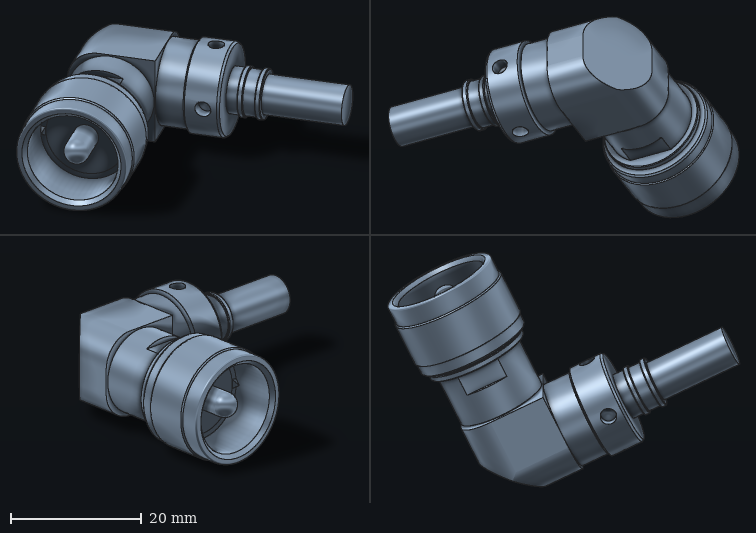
import cadquery as cq
import math


BLOCK_HALF = 7.0
BLOCK_BACK = 6.93
BLOCK_ROUND = 5.05
BLOCK_BEVEL = 7.95

ARM_RADIUS = 6.93
NECK_RADIUS = 6.15

BARREL_START = 7.3
FLAT_START = 12.25
FLAT_HALF_HEIGHT = 6.05
COLLAR_START = 15.65
COLLAR_END = 16.6
COLLAR_RADIUS = 7.95
COLLAR_CHAMFER = 0.15
FLANGE_START = 18.3
FACE = 20.95
KEY_WIDTH = 1.47
KEY_HEIGHT = 1.05
KEY_CLEARANCE = 0.05
KEY_TIP = 0.05

SHOULDER_END = 11.45
CLAMP_START = 11.8
CLAMP_END = 17.35
CLAMP_RADIUS = 7.5
CLAMP_CHAMFER_LENGTH = 0.4
CLAMP_CHAMFER_DEPTH = 0.25
SPANNER_HOLE_X = 14.75
SPANNER_HOLE_DIAMETER = 2.5
SPANNER_HOLE_DEPTH = 2.0
SPANNER_HOLE_COUNT = 4
DRILL_POINT_ANGLE = 140.0
FERRULE_RADIUS = 3.7
FERRULE_END = 22.85
RIB_STARTS = (19.12, 21.95)
RIB_WIDTH = 0.9
RIB_RADIUS = 4.0
RIB_CHAMFER = 0.15

CABLE_RADIUS = 3.15
CABLE_END = 35.6

INSULATOR_RADIUS = 6.4
INSULATOR_LENGTH = 2.7
INSULATOR_BACK = FACE - INSULATOR_LENGTH
PIN_RADIUS = 2.0
PIN_SHOULDER = 25.95

NUT_START = 17.0
NUT_GRIP_START = 19.05
NUT_GRIP_END = 25.75
NUT_END = 29.0
NUT_RADIUS = 8.85
NUT_GRIP_RADIUS = 9.05
NUT_REAR_CHAMFER = 0.25
NUT_FRONT_FILLET = 0.3
NUT_GRIP_REAR_SLOPE = 0.1
NUT_GRIP_FRONT_SLOPE = 0.22
NUT_BORE_RADIUS = 7.25
NUT_MOUTH_CHAMFER = 0.65


def plug_cylinder(radius, start, end):
    """Cylinder on the plug axis between two distances towards -Y."""
    return cq.Workplane("XZ", origin=(0, -start, 0)).circle(radius).extrude(end - start)


def cable_cylinder(radius, start, end):
    """Cylinder on the cable axis between two distances towards +X."""
    return cq.Workplane("YZ", origin=(start, 0, 0)).circle(radius).extrude(end - start)


def make_block():
    """Cube with rounded outer edges on both arms and a bevelled outer corner."""
    size = 2 * BLOCK_HALF
    depth = BLOCK_HALF + BLOCK_BACK
    cube = cq.Workplane("XY", origin=(0, BLOCK_BACK - depth / 2, 0)).box(size, depth, size)
    plug_arm = cube.edges("<X and |Y").fillet(BLOCK_ROUND)
    cable_arm = cube.edges(">Y and |X").fillet(BLOCK_ROUND)
    corner = (
        cq.Workplane("XY", origin=(0, 0, -BLOCK_HALF))
        .moveTo(-BLOCK_HALF, BLOCK_BACK)
        .lineTo(-BLOCK_HALF + BLOCK_BEVEL, BLOCK_BACK)
        .lineTo(-BLOCK_HALF, BLOCK_BACK - BLOCK_BEVEL)
        .close()
        .extrude(size)
    )
    return plug_arm.intersect(cable_arm).cut(corner)


def make_key(side):
    """Pointed key on the rim of the front flange, on the +X or the -X side."""
    rim_width = NUT_BORE_RADIUS - INSULATOR_RADIUS
    rim_middle = INSULATOR_RADIUS + rim_width / 2
    return (
        cq.Workplane("XZ", origin=(side * rim_middle, -FACE, 0))
        .rect(rim_width - 2 * KEY_CLEARANCE, KEY_WIDTH)
        .workplane(offset=KEY_HEIGHT)
        .rect(KEY_TIP, KEY_TIP)
        .loft(ruled=True)
    )


def make_barrel():
    """Round plug arm with a collar, two wrench flats and a keyed front flange."""
    neck = plug_cylinder(NECK_RADIUS, BLOCK_HALF, BARREL_START)
    tube = plug_cylinder(ARM_RADIUS, BARREL_START, FACE)
    flat_length = COLLAR_START - FLAT_START
    wrench_section = cq.Workplane("XY", origin=(0, -(FLAT_START + COLLAR_START) / 2, 0)).box(
        2 * ARM_RADIUS, flat_length, 2 * FLAT_HALF_HEIGHT
    )
    tube = tube.cut(plug_cylinder(ARM_RADIUS, FLAT_START, COLLAR_START).cut(wrench_section))
    collar = plug_cylinder(COLLAR_RADIUS, COLLAR_START, COLLAR_END).edges().chamfer(COLLAR_CHAMFER)
    flange = plug_cylinder(NUT_BORE_RADIUS, FLANGE_START, FACE)
    recess = plug_cylinder(INSULATOR_RADIUS, INSULATOR_BACK, FACE)
    barrel = neck.union(tube).union(collar).union(flange).cut(recess)
    for side in (1, -1):
        barrel = barrel.union(make_key(side))
    return barrel


def spanner_hole():
    """Blind drilled hole entering the clamp section from +Z."""
    radius = SPANNER_HOLE_DIAMETER / 2
    point_length = radius / math.tan(math.radians(DRILL_POINT_ANGLE / 2))
    bottom = CLAMP_RADIUS - SPANNER_HOLE_DEPTH
    return (
        cq.Workplane("XZ")
        .moveTo(0, CLAMP_RADIUS)
        .lineTo(radius, CLAMP_RADIUS)
        .lineTo(radius, bottom)
        .lineTo(0, bottom - point_length)
        .close()
        .revolve(360, (0, 0), (0, 1))
        .translate((SPANNER_HOLE_X, 0, 0))
    )


def make_clamp():
    """Cable arm: shoulder, relief groove, clamp section with spanner holes, and ferrule."""
    shoulder = cable_cylinder(ARM_RADIUS, BLOCK_HALF, SHOULDER_END)
    neck = cable_cylinder(NECK_RADIUS, SHOULDER_END, CLAMP_START)
    clamp = (
        cable_cylinder(CLAMP_RADIUS, CLAMP_START, CLAMP_END)
        .faces(">X")
        .chamfer(CLAMP_CHAMFER_LENGTH, CLAMP_CHAMFER_DEPTH)
    )
    for index in range(SPANNER_HOLE_COUNT):
        angle = 360 / SPANNER_HOLE_COUNT * index
        clamp = clamp.cut(spanner_hole().rotate((0, 0, 0), (1, 0, 0), angle))
    ferrule = cable_cylinder(FERRULE_RADIUS, CLAMP_END, FERRULE_END)
    for start in RIB_STARTS:
        rib = cable_cylinder(RIB_RADIUS, start, start + RIB_WIDTH).edges().chamfer(RIB_CHAMFER)
        ferrule = ferrule.union(rib)
    cable_seat = cable_cylinder(CABLE_RADIUS, CLAMP_END, FERRULE_END)
    return shoulder.union(neck).union(clamp).union(ferrule).cut(cable_seat)


def make_body():
    """Elbow block with its plug arm and its cable arm."""
    return make_block().union(make_barrel()).union(make_clamp())


def make_cable():
    """Cable seated in the ferrule."""
    return cable_cylinder(CABLE_RADIUS, CLAMP_END, CABLE_END)


def make_pin():
    """Round-tipped centre pin, starting at the back of the insulator."""
    pin = plug_cylinder(PIN_RADIUS, INSULATOR_BACK, PIN_SHOULDER)
    tip = cq.Workplane("XY", origin=(0, -PIN_SHOULDER, 0)).sphere(PIN_RADIUS)
    return pin.union(tip)


def make_insulator():
    """Disc in the front recess of the body, with a hole for the pin."""
    disc = plug_cylinder(INSULATOR_RADIUS, INSULATOR_BACK, FACE)
    pin_hole = plug_cylinder(PIN_RADIUS, INSULATOR_BACK, FACE)
    return disc.cut(pin_hole)


def make_coupling_nut():
    """Sleeve with a raised grip band, bored to hold the flange of the body."""
    profile = (
        cq.Workplane("XY")
        .moveTo(0, -NUT_START)
        .lineTo(NUT_RADIUS - NUT_REAR_CHAMFER, -NUT_START)
        .lineTo(NUT_RADIUS, -NUT_START - NUT_REAR_CHAMFER)
        .lineTo(NUT_RADIUS, -NUT_GRIP_START + NUT_GRIP_REAR_SLOPE)
        .lineTo(NUT_GRIP_RADIUS, -NUT_GRIP_START)
        .lineTo(NUT_GRIP_RADIUS, -NUT_GRIP_END)
        .lineTo(NUT_RADIUS, -NUT_GRIP_END - NUT_GRIP_FRONT_SLOPE)
        .lineTo(NUT_RADIUS, -NUT_END)
        .lineTo(0, -NUT_END)
        .close()
    )
    sleeve = profile.revolve(360, (0, 0), (0, 1)).faces("<Y").edges().fillet(NUT_FRONT_FILLET)
    rear_hole = plug_cylinder(ARM_RADIUS, NUT_START, FLANGE_START)
    bore = plug_cylinder(NUT_BORE_RADIUS, FLANGE_START, NUT_END)
    mouth = cq.Solid.makeCone(
        NUT_BORE_RADIUS + NUT_MOUTH_CHAMFER,
        NUT_BORE_RADIUS,
        NUT_MOUTH_CHAMFER,
        pnt=cq.Vector(0, -NUT_END, 0),
        dir=cq.Vector(0, 1, 0),
    )
    return sleeve.cut(rear_hole).cut(bore).cut(cq.Workplane(mouth))


body = make_body()
cable = make_cable()
insulator = make_insulator()
pin = make_pin()
coupling_nut = make_coupling_nut()

result = cq.Compound.makeCompound(
    [body.val(), cable.val(), insulator.val(), pin.val(), coupling_nut.val()]
)